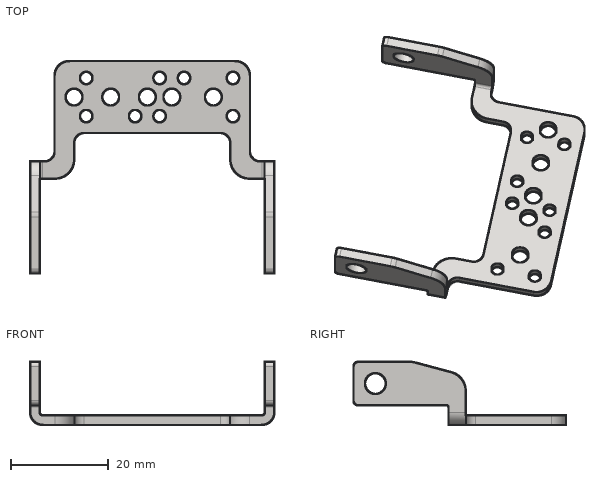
import cadquery as cq
import math

thickness = 2.0
width = 50.0
depth = 43.5
height = 12.95
bend_inner_radius = 0.6
bend_outer_radius = bend_inner_radius + thickness

plate_width = 40.0
plate_depth = 14.75
leg_inner_gap = 31.85
plate_corner_radius = 3.0
leg_inner_fillet = 2.0
foot_outer_fillet = 2.0
foot_inner_fillet = 4.0

foot_front_y = 19.4
foot_back_y = 23.0

arm_bottom_z = 4.0
arm_slope_start_y = 12.1
arm_slope_angle = 15.0
arm_back_radius = 4.0
arm_slope_radius = 4.0
arm_tip_radius = 1.0
notch_radius = 0.3
pivot_diameter = 4.2
pivot_y = 4.5
pivot_z = (arm_bottom_z + height) / 2

small_hole_diameter = 2.5
large_hole_diameter = 3.4
hole_row_spacing = 3.9
back_row_x = [-13.5, 1.5, 6.5, 16.5]
middle_row_x = [-16, -8.5, -1, 4, 12.5]
front_row_x = [-13.5, -3.5, 1.5, 16.5]
middle_row_y = depth - plate_depth / 2


def fillet_upright_edges(body, x, y, radius):
    """Round the pair of mirrored vertical edges at (+x, y) and (-x, y)."""
    for side in (-1, 1):
        edge = cq.selectors.NearestToPointSelector((side * x, y, thickness / 2))
        body = body.edges("|Z").edges(edge).fillet(radius)
    return body


def make_flat_sheet():
    """Plate, legs and feet, extending to the full width."""
    feet = cq.Workplane("XY").box(
        width, foot_back_y - foot_front_y, thickness, centered=(True, False, False)
    ).translate((0, foot_front_y, 0))
    plate = cq.Workplane("XY").box(
        plate_width, depth - foot_front_y, thickness, centered=(True, False, False)
    ).translate((0, foot_front_y, 0))
    gap = cq.Workplane("XY").box(
        leg_inner_gap, depth - plate_depth - foot_front_y, thickness, centered=(True, False, False)
    ).translate((0, foot_front_y, 0))
    sheet = feet.union(plate).cut(gap)

    sheet = fillet_upright_edges(sheet, plate_width / 2, depth, plate_corner_radius)
    sheet = fillet_upright_edges(sheet, plate_width / 2, foot_back_y, foot_outer_fillet)
    sheet = fillet_upright_edges(sheet, leg_inner_gap / 2, depth - plate_depth, leg_inner_fillet)
    return fillet_upright_edges(sheet, leg_inner_gap / 2, foot_front_y, foot_inner_fillet)


def make_channel():
    """Bent U section along the whole depth: floor, bends and two walls."""
    outer = (
        cq.Workplane("XY")
        .box(width, depth, height, centered=(True, False, False))
        .edges("|Y and <Z")
        .fillet(bend_outer_radius)
    )
    inner = (
        cq.Workplane("XY")
        .box(width - 2 * thickness, depth, height - thickness, centered=(True, False, False))
        .edges("|Y and <Z")
        .fillet(bend_inner_radius)
        .translate((0, 0, thickness))
    )
    return outer.cut(inner)


def make_arm_profile():
    """Side outline of the arms and bends, extruded across the full width."""
    slope_drop = (foot_back_y - arm_slope_start_y) * math.tan(math.radians(arm_slope_angle))
    slope_end_z = height - slope_drop
    corners = [
        (0, arm_bottom_z, arm_tip_radius),
        (foot_front_y, arm_bottom_z, notch_radius),
        (foot_front_y, 0, None),
        (foot_back_y, 0, None),
        (foot_back_y, slope_end_z, arm_back_radius),
        (arm_slope_start_y, height, arm_slope_radius),
        (0, height, arm_tip_radius),
    ]
    outline = [(y, z) for y, z, radius in corners]
    profile = cq.Workplane("YZ").polyline(outline).close().extrude(width / 2, both=True)
    for y, z, radius in corners:
        if radius is not None:
            edge = cq.selectors.NearestToPointSelector((0, y, z))
            profile = profile.edges("|X").edges(edge).fillet(radius)
    return profile


def make_row(x_positions, y, diameter):
    """Cutters for one row of round holes through the plate."""
    centers = [(x, y) for x in x_positions]
    return cq.Workplane("XY").pushPoints(centers).circle(diameter / 2).extrude(thickness)


channel = make_channel()
center_block = cq.Workplane("XY").box(
    width - 2 * bend_outer_radius, depth, height, centered=(True, False, False)
)
sides = channel.intersect(make_arm_profile()).cut(center_block)
result = make_flat_sheet().intersect(center_block).union(sides)

result = result.cut(make_row(back_row_x, middle_row_y + hole_row_spacing, small_hole_diameter))
result = result.cut(make_row(middle_row_x, middle_row_y, large_hole_diameter))
result = result.cut(make_row(front_row_x, middle_row_y - hole_row_spacing, small_hole_diameter))

pivot = (
    cq.Workplane("YZ")
    .center(pivot_y, pivot_z)
    .circle(pivot_diameter / 2)
    .extrude(width / 2, both=True)
)
result = result.cut(pivot)